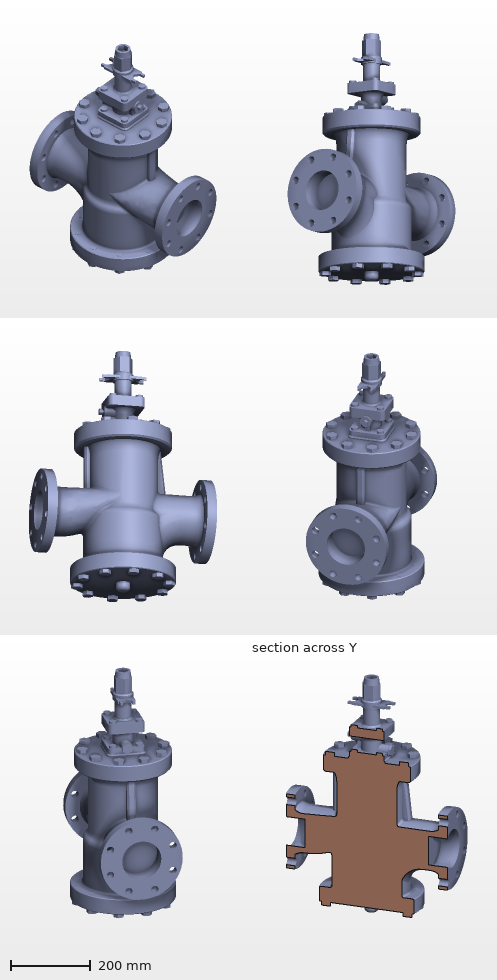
import cadquery as cq
import math

PIPE_Z = 197.0
FACE_X = 217.15

LOWER_R = 100.5
UPPER_R = 88.0
NECK_R = 94.0
SHOULDER_START_Z = 177.0
SHOULDER_END_Z = 205.0
NECK_START_Z = 346.0
FOOT_FILLET = 5.5

BOTTOM_FLANGE_R = 132.5
BOTTOM_FLANGE_Z = 21.0
BOTTOM_FLANGE_TOP_Z = 62.0
TOP_FLANGE_R = 122.5
TOP_FLANGE_Z = 370.0
COVER_Z = 414.0
FLANGE_EDGE = 2.0
TOP_FLANGE_UNDER_EDGE = 4.5

BOLT_COUNT = 10
BOLT_FLATS = 25.0
BOLT_HEAD_H = 10.0
BOTTOM_BOLT_R = 115.5
TOP_BOLT_R = 104.5
STUD_D = 16.0
STUD_STICKOUT = 0.5
PLUG_R = 18.0
PLUG_TIP_R = 9.5
PLUG_DOME_H = 10.0

PIPE_FLANGE_R = 105.0
PIPE_FLANGE_T = 25.0
PIPE_R = 62.5
PIPE_FLARE = 21.0
PIPE_FLARE_STEP = 5.5
BORE_D = 100.0
BORE_DEPTH = 50.0
PIPE_HOLE_COUNT = 8
PIPE_HOLE_D = 19.0
PIPE_HOLE_R = 87.0
ELBOW_X = -150.0
ELBOW_BEND_R = 112.5
OUTLET_START_X = 169.0
OUTLET_SECTIONS = [(106.0, 71.0, 56.0), (15.5, 86.0, 26.0)]
BLEND_R = 6.0

RIB_W = 22.5
RIB_INNER_X = 62.5
RIB_FOOT_Z = 244.0
LEFT_RIB_TOP_X = 95.5
LEFT_RIB_FOOT_X = 110.0
RIGHT_RIB_X = 100.5
RIB_EDGE = 5.0

PLATE_SIDE = 94.0
PLATE_CORNER_R = 12.0
PAD_SIDE = 100.0
PAD_H = 5.5
PAD_EDGE = 3.0
BASE_PLATE_TOP_Z = 433.5
UPPER_PLATE_Z = 473.0
UPPER_PLATE_TOP_Z = 498.5
SMALL_BOLT_D = 18.0
SMALL_BOLT_H = 6.0
SMALL_BOLT_POS = 34.0

BONNET_R = 25.95
BONNET_FLARE_R = 34.0
BONNET_FLARE_Z = 460.5
SIDE_BOSS_D = 29.0
LEFT_BOSS_Z = 435.5
LEFT_BOSS_X = 49.5
LEFT_PLUG_FLATS = 24.5
LEFT_PLUG_H = 7.0
RIGHT_BOSS_Z = 466.0
RIGHT_BOSS_X = 50.5
SCREW_FLATS = 14.5
SCREW_NECK_D = 10.0
SCREW_NECK_H = 2.5
SCREW_HEAD_H = 9.0
WEB_X = 35.5
WEB_W = 12.0

STEM_R = 22.0
STEM_FILLET = 4.0
COLLAR_Z = 548.5
COLLAR_TOP_Z = 568.5
COLLAR_EDGE = 3.0
CAP_FLATS = 42.0
CAP_HEX_TOP_Z = 609.0
CAP_ROOT_R = 20.5
CAP_TIP_R = 19.0
TOP_Z = 625.0
SOCKET_FLATS = 25.0
SOCKET_DEPTH = 15.5
HANDLE_Z = 552.5
HANDLE_T = 7.0
HANDLE_HALF_L = 56.0
HANDLE_TIP_HALF_W = 19.5
HANDLE_HUB_HALF_L = 44.0
HANDLE_HUB_HALF_W = 22.8
NOTCH_HALF_W = 12.5
NOTCH_END_X = 44.0
NOTCH_APEX_X = 34.5


def cylinder(radius, z_start, z_end):
    return cq.Workplane("XY").workplane(offset=z_start).circle(radius).extrude(z_end - z_start)


def x_cylinder(diameter, x_start, x_end, z):
    plane = cq.Workplane("YZ", origin=(x_start, 0, z))
    return plane.circle(diameter / 2).extrude(x_end - x_start)


def hexagon(flats, height, z):
    """Hexagonal prism on the valve axis with corners along X."""
    corners = flats / math.cos(math.pi / 6)
    return cq.Workplane("XY").workplane(offset=z).polygon(6, corners).extrude(height)


def x_hexagon(flats, x_start, x_end, z):
    """Hexagonal prism along X with a corner pointing up."""
    prism = hexagon(flats, x_end - x_start, x_start)
    return prism.rotate((0, 0, 0), (0, 1, 0), 90).translate((0, 0, z))


def square_plate(side, corner_r, z_start, z_end):
    plate = cq.Workplane("XY").workplane(offset=z_start).rect(side, side).extrude(z_end - z_start)
    return plate.edges("|Z").fillet(corner_r)


def ring_of(shape, radius, count):
    """Copies of an axial shape on a circle, the first one on +Y."""
    ring = cq.Workplane("XY")
    for i in range(count):
        angle = 90 + i * 360 / count
        ring = ring.add(shape.translate((radius, 0, 0)).rotate((0, 0, 0), (0, 0, 1), angle))
    return ring.combine()


def make_body():
    shoulder_mid_r = (LOWER_R + UPPER_R) / 2
    shoulder_mid_z = (SHOULDER_START_Z + SHOULDER_END_Z) / 2
    profile = (
        cq.Workplane("XZ")
        .moveTo(0, BOTTOM_FLANGE_Z)
        .lineTo(LOWER_R, BOTTOM_FLANGE_Z)
        .lineTo(LOWER_R, SHOULDER_START_Z)
        .tangentArcPoint((shoulder_mid_r, shoulder_mid_z), relative=False)
        .tangentArcPoint((UPPER_R, SHOULDER_END_Z), relative=False)
        .lineTo(UPPER_R, NECK_START_Z)
        .tangentArcPoint((NECK_R, TOP_FLANGE_Z), relative=False)
        .lineTo(0, TOP_FLANGE_Z)
        .close()
    )
    return profile.revolve(360, (0, 0, 0), (0, 1, 0))


def make_pipe_end(straight_end_x):
    """Bolted flange, flare and straight pipe on the +X side, still without its bore."""
    flange_back = FACE_X - PIPE_FLANGE_T
    flare_end = flange_back - PIPE_FLARE
    flare_r = PIPE_R + PIPE_FLARE_STEP
    profile = (
        cq.Workplane("XZ", origin=(0, 0, PIPE_Z))
        .moveTo(straight_end_x, 0)
        .lineTo(straight_end_x, PIPE_R)
        .lineTo(flare_end, PIPE_R)
        .tangentArcPoint((flange_back, flare_r), relative=False)
        .lineTo(flange_back, PIPE_FLANGE_R)
        .lineTo(FACE_X, PIPE_FLANGE_R)
        .lineTo(FACE_X, 0)
        .close()
    )
    return profile.revolve(360, (0, 0, 0), (1, 0, 0))


def make_inlet():
    """Pipe end on the -X side whose lower half bends down into the body."""
    straight = make_pipe_end(0).mirror("YZ")
    elbow_end = (ELBOW_X + ELBOW_BEND_R, PIPE_Z - ELBOW_BEND_R)
    path = cq.Workplane("XZ").moveTo(ELBOW_X, PIPE_Z).radiusArc(elbow_end, ELBOW_BEND_R)
    elbow = cq.Workplane("YZ", origin=(ELBOW_X, 0, PIPE_Z)).circle(PIPE_R).sweep(path)
    return straight.union(elbow)


def make_outlet():
    """Pipe end on the +X side that widens and flattens towards the body."""
    top_z = PIPE_Z + PIPE_R
    wires = [cq.Wire.makeCircle(PIPE_R, cq.Vector(OUTLET_START_X, 0, PIPE_Z), cq.Vector(1, 0, 0))]
    for x, half_w, half_h in OUTLET_SECTIONS:
        plane = cq.Workplane("YZ", origin=(x, 0, top_z - half_h))
        wires.append(plane.ellipse(half_w, half_h).wires().val())
    branch = cq.Workplane(cq.Solid.makeLoft(wires))
    return make_pipe_end(OUTLET_START_X).union(branch)


def blend_joints(shell):
    """Round the joint over the inlet pipe and the one under the outlet branch."""
    over_inlet = cq.selectors.BoxSelector(
        (-UPPER_R, -PIPE_R, SHOULDER_END_Z + 6), (-PIPE_R, PIPE_R, PIPE_Z + PIPE_R)
    )
    under_outlet = cq.selectors.BoxSelector(
        (UPPER_R, -PIPE_R, PIPE_Z - PIPE_R), (LOWER_R, PIPE_R, SHOULDER_START_Z)
    )
    return shell.edges(over_inlet).fillet(BLEND_R).edges(under_outlet).fillet(BLEND_R)


def make_rib(top_x, foot_x):
    """Rib on the +X side of the upper body, from the pipe up to the top flange."""
    rib = (
        cq.Workplane("XZ")
        .moveTo(RIB_INNER_X, RIB_FOOT_Z)
        .lineTo(foot_x, RIB_FOOT_Z)
        .lineTo(top_x, TOP_FLANGE_Z)
        .lineTo(RIB_INNER_X, TOP_FLANGE_Z)
        .close()
        .extrude(RIB_W / 2, both=True)
    )
    return rib.faces(">X").edges("not #Z").edges("not |Y").chamfer(RIB_EDGE)


def make_bottom_cover():
    flange = cylinder(BOTTOM_FLANGE_R, BOTTOM_FLANGE_Z, BOTTOM_FLANGE_TOP_Z).edges().chamfer(FLANGE_EDGE)
    foot_top_z = BOTTOM_FLANGE_TOP_Z + FOOT_FILLET
    foot_r = LOWER_R + FOOT_FILLET
    foot = cylinder(foot_r, BOTTOM_FLANGE_TOP_Z, foot_top_z)
    foot_groove = cq.Workplane(cq.Solid.makeTorus(foot_r, FOOT_FILLET, cq.Vector(0, 0, foot_top_z)))
    head = hexagon(BOLT_FLATS, BOLT_HEAD_H, BOTTOM_FLANGE_Z - BOLT_HEAD_H)
    stud = cylinder(STUD_D / 2, BOTTOM_FLANGE_Z, BOTTOM_FLANGE_TOP_Z + STUD_STICKOUT)
    bolts = ring_of(head.union(stud), BOTTOM_BOLT_R, BOLT_COUNT)
    plug = (
        cq.Workplane("XZ")
        .moveTo(0, BOTTOM_FLANGE_Z)
        .lineTo(PLUG_R, BOTTOM_FLANGE_Z)
        .lineTo(PLUG_R, PLUG_DOME_H)
        .tangentArcPoint((PLUG_TIP_R, 0), relative=False)
        .lineTo(0, 0)
        .close()
        .revolve(360, (0, 0, 0), (0, 1, 0))
    )
    return flange.union(foot.cut(foot_groove)).union(bolts).union(plug)


def make_top_cover():
    flange = (
        cylinder(TOP_FLANGE_R, TOP_FLANGE_Z, COVER_Z)
        .faces("<Z").chamfer(TOP_FLANGE_UNDER_EDGE)
        .faces(">Z").chamfer(FLANGE_EDGE)
    )
    return flange.union(ring_of(hexagon(BOLT_FLATS, BOLT_HEAD_H, COVER_Z), TOP_BOLT_R, BOLT_COUNT))


def make_small_bolts(z):
    head = cylinder(SMALL_BOLT_D / 2, z, z + SMALL_BOLT_H)
    bolts = cq.Workplane("XY")
    for x in (-SMALL_BOLT_POS, SMALL_BOLT_POS):
        for y in (-SMALL_BOLT_POS, SMALL_BOLT_POS):
            bolts = bolts.add(head.translate((x, y, 0)))
    return bolts.combine()


def make_bonnet():
    pad_top_z = COVER_Z + PAD_H
    pad = square_plate(PAD_SIDE, PLATE_CORNER_R + PAD_EDGE, COVER_Z, pad_top_z)
    pad = pad.faces(">Z").chamfer(PAD_EDGE)
    base = square_plate(PLATE_SIDE, PLATE_CORNER_R, pad_top_z, BASE_PLATE_TOP_Z)
    upper = square_plate(PLATE_SIDE, PLATE_CORNER_R, UPPER_PLATE_Z, UPPER_PLATE_TOP_Z)
    neck = (
        cq.Workplane("XZ")
        .moveTo(0, BASE_PLATE_TOP_Z)
        .lineTo(BONNET_R, BASE_PLATE_TOP_Z)
        .lineTo(BONNET_R, BONNET_FLARE_Z)
        .tangentArcPoint((BONNET_FLARE_R, UPPER_PLATE_Z), relative=False)
        .lineTo(0, UPPER_PLATE_Z)
        .close()
        .revolve(360, (0, 0, 0), (0, 1, 0))
    )
    bonnet = pad.union(base).union(neck).union(upper)
    return bonnet.union(make_small_bolts(BASE_PLATE_TOP_Z)).union(make_small_bolts(UPPER_PLATE_TOP_Z))


def make_side_bosses():
    left = x_cylinder(SIDE_BOSS_D, -LEFT_BOSS_X, 0, LEFT_BOSS_Z)
    left_plug = x_hexagon(LEFT_PLUG_FLATS, -LEFT_BOSS_X - LEFT_PLUG_H, -LEFT_BOSS_X, LEFT_BOSS_Z)
    right = x_cylinder(SIDE_BOSS_D, 0, RIGHT_BOSS_X, RIGHT_BOSS_Z)
    head_x = RIGHT_BOSS_X + SCREW_NECK_H
    screw_neck = x_cylinder(SCREW_NECK_D, RIGHT_BOSS_X, head_x, RIGHT_BOSS_Z)
    screw_head = x_hexagon(SCREW_FLATS, head_x, head_x + SCREW_HEAD_H, RIGHT_BOSS_Z)
    web_h = RIGHT_BOSS_Z - BASE_PLATE_TOP_Z
    web = cq.Workplane("XY").box(WEB_X, WEB_W, web_h, centered=(False, True, False))
    web = web.translate((0, 0, BASE_PLATE_TOP_Z))
    return left.union(left_plug).union(right).union(screw_neck).union(screw_head).union(web)


def make_handle():
    """Flat double-ended bar with a V-bottomed notch in each end."""
    outline = [
        (0, HANDLE_HUB_HALF_W),
        (HANDLE_HUB_HALF_L, HANDLE_HUB_HALF_W),
        (HANDLE_HUB_HALF_L, HANDLE_TIP_HALF_W),
        (HANDLE_HALF_L, HANDLE_TIP_HALF_W),
        (HANDLE_HALF_L, NOTCH_HALF_W),
        (NOTCH_END_X, NOTCH_HALF_W),
        (NOTCH_APEX_X, 0),
        (0, 0),
    ]
    quarter = cq.Workplane("XY").workplane(offset=HANDLE_Z).polyline(outline).close().extrude(HANDLE_T)
    half = quarter.union(quarter.mirror("XZ"))
    return half.union(half.mirror("YZ"))


def make_stem():
    stem = cylinder(STEM_R, UPPER_PLATE_TOP_Z, COLLAR_Z)
    foot_cone = cq.Solid.makeCone(
        STEM_R + STEM_FILLET, STEM_R, STEM_FILLET, cq.Vector(0, 0, UPPER_PLATE_TOP_Z)
    )
    foot = cq.Workplane(foot_cone)
    collar = cylinder(BONNET_R, COLLAR_Z, COLLAR_TOP_Z).faces(">Z").chamfer(COLLAR_EDGE)
    cap_hex = hexagon(CAP_FLATS, CAP_HEX_TOP_Z - COLLAR_TOP_Z, COLLAR_TOP_Z)
    cap_cone = cq.Solid.makeCone(
        CAP_ROOT_R, CAP_TIP_R, TOP_Z - CAP_HEX_TOP_Z, cq.Vector(0, 0, CAP_HEX_TOP_Z)
    )
    cap = cq.Workplane(cap_cone)
    socket = hexagon(SOCKET_FLATS, SOCKET_DEPTH, TOP_Z - SOCKET_DEPTH)
    return stem.union(foot).union(collar).union(make_handle()).union(cap_hex).union(cap).cut(socket)


def make_pipe_cuts():
    """Bore and bolt holes of the +X pipe end."""
    cuts = x_cylinder(BORE_D, FACE_X - BORE_DEPTH, FACE_X, PIPE_Z)
    hole = x_cylinder(PIPE_HOLE_D, FACE_X - PIPE_FLANGE_T, FACE_X, PIPE_Z + PIPE_HOLE_R)
    for i in range(PIPE_HOLE_COUNT):
        angle = (i + 0.5) * 360 / PIPE_HOLE_COUNT
        cuts = cuts.union(hole.rotate((0, 0, PIPE_Z), (1, 0, PIPE_Z), angle))
    return cuts


result = blend_joints(make_body().union(make_inlet()).union(make_outlet()))
result = result.union(make_rib(RIGHT_RIB_X, RIGHT_RIB_X))
result = result.union(make_rib(LEFT_RIB_TOP_X, LEFT_RIB_FOOT_X).mirror("YZ"))
for part in (make_bottom_cover(), make_top_cover(), make_bonnet(), make_side_bosses(), make_stem()):
    result = result.union(part)
pipe_cuts = make_pipe_cuts()
result = result.cut(pipe_cuts).cut(pipe_cuts.mirror("YZ"))